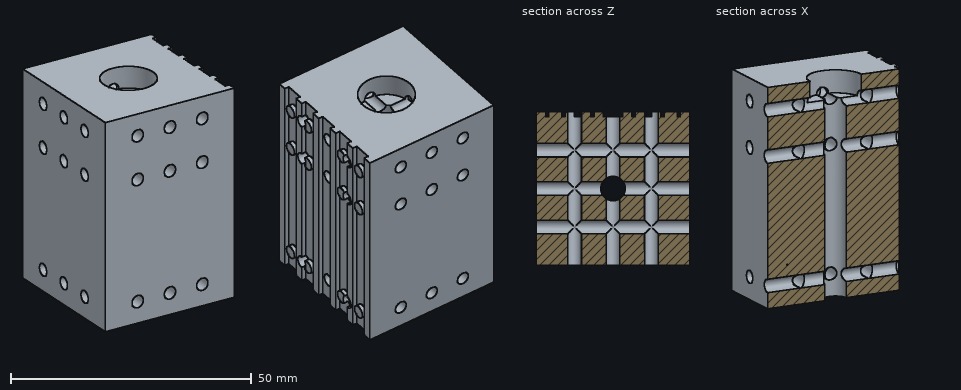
import cadquery as cq

side = 32.0
height = 48.0
half_side = side / 2

bore_diameter = 5.0
counterbore_diameter = 12.0
counterbore_depth = 5.0

cross_hole_diameter = 2.8
column_spacing = side / 4
end_inset = 5.0
upper_row_inset = 15.0
columns = [-column_spacing, 0, column_spacing]
rows = [end_inset, height - upper_row_inset, height - end_inset]

slots_per_side = 2
tooth_count = 2 * slots_per_side + 2
slot_count = tooth_count - 1
slot_to_tooth = 2
tooth_width = side / (tooth_count + slot_to_tooth * slot_count)
slot_width = slot_to_tooth * tooth_width
slot_pitch = tooth_width + slot_width
slot_depth = 1.0
slot_centers = [i * slot_pitch for i in range(-slots_per_side, slots_per_side + 1)]

pin_diameter = cross_hole_diameter


def make_block():
    block = cq.Workplane("XY").box(side, side, height, centered=(True, True, False))
    return (
        block.faces(">Z")
        .workplane()
        .cboreHole(bore_diameter, counterbore_diameter, counterbore_depth)
    )


def make_slots():
    return (
        cq.Workplane("XY")
        .pushPoints([(x, half_side - slot_depth / 2) for x in slot_centers])
        .rect(slot_width, slot_depth)
        .extrude(height)
    )


def make_pins():
    pin_centers = [(x, z) for x in slot_centers if x != 0 for z in rows]
    return (
        cq.Workplane("XZ")
        .workplane(offset=-(half_side - slot_depth))
        .pushPoints(pin_centers)
        .circle(pin_diameter / 2)
        .extrude(-slot_depth)
    )


def make_cross_holes(plane):
    return (
        cq.Workplane(plane)
        .pushPoints([(across, z) for across in columns for z in rows])
        .circle(cross_hole_diameter / 2)
        .extrude(half_side, both=True)
    )


toothed_block = make_block().cut(make_slots()).union(make_pins())

result = toothed_block.cut(make_cross_holes("XZ")).cut(make_cross_holes("YZ"))